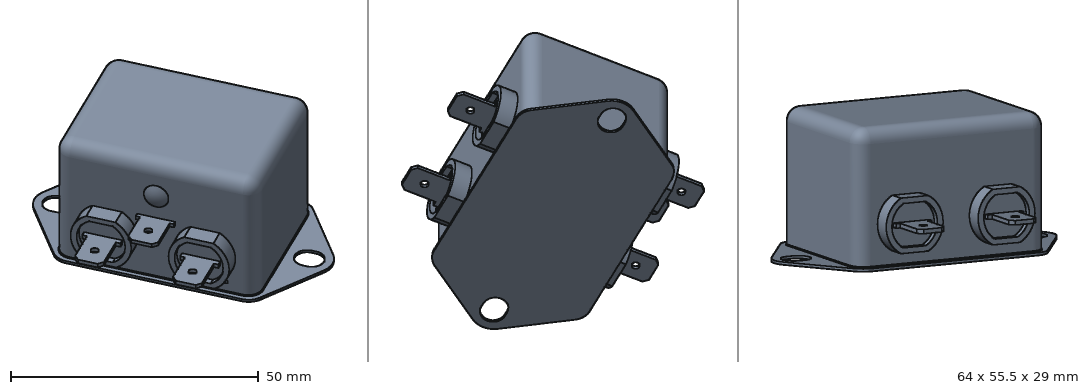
import cadquery as cq
import math

plate_thickness = 0.6
plate_width = 35.0
overall_length = 63.96
ear_spacing = 54.0
ear_radius = (overall_length - ear_spacing) / 2
shoulder_spacing = 37.7
shoulder_radius = 4.0
slot_length = 6.3
slot_width = 5.3

overall_height = 29.0
housing_length = 43.4
housing_width = 32.5
housing_radius = 3.1
foot_size = 0.2
foot_slope = 45.0

bushing_spacing = 21.0
bushing_height = 9.3
bushing_face_y = 20.0
bushing_diameter = 13.0
bushing_flats = 11.4
cup_diameter = 10.4
cup_flats = 9.1
cup_depth = 1.4

dome_height = 20.8
dome_diameter = 5.3
dome_rise = 0.7
pip_spacing = 30.0
pip_height = 3.1
pip_diameter = 0.8
pip_rise = 0.15

tip_chamfer = 1.0
hole_inset = 4.05
terminal_hole = 1.65

blade_base_overhang = 1.0
blade_base_length = 1.1
blade_width = 6.2
blade_thickness = 0.9
blade_tip_y = 27.75

ground_width = 6.4
ground_thickness = 0.8
ground_tip_y = 24.9
ground_height = 15.0
ground_base_overhang = 0.9
ground_base_length = 0.85


def make_plate():
    """Plate whose ear and shoulder arcs are joined by common tangent lines."""
    ear_x = ear_spacing / 2
    shoulder_x = shoulder_spacing / 2
    side_y = plate_width / 2
    shoulder_y = side_y - shoulder_radius
    run = ear_x - shoulder_x
    distance = math.hypot(run, shoulder_y)
    tangent = math.acos((shoulder_radius - ear_radius) / distance) - math.atan2(shoulder_y, run)

    def ear(angle):
        return (ear_x + ear_radius * math.cos(angle), ear_radius * math.sin(angle))

    def shoulder(angle):
        return (
            shoulder_x + shoulder_radius * math.cos(angle),
            shoulder_y + shoulder_radius * math.sin(angle),
        )

    top = math.pi / 2
    quarter = (
        cq.Workplane("XY")
        .lineTo(*ear(0))
        .threePointArc(ear(tangent / 2), ear(tangent))
        .lineTo(*shoulder(tangent))
        .threePointArc(shoulder((tangent + top) / 2), shoulder(top))
        .lineTo(0, side_y)
        .close()
        .extrude(plate_thickness)
    )
    half = quarter.union(quarter.mirror("YZ"))
    outline = half.union(half.mirror("XZ"))
    slots = (
        cq.Workplane("XY")
        .pushPoints([(-ear_x, 0), (ear_x, 0)])
        .slot2D(slot_length, slot_width)
        .extrude(plate_thickness)
    )
    return outline.cut(slots)


def flatted_disc(diameter, flats, start_y, end_y, x):
    """Disc along Y with a flat above and below, between two Y positions."""
    length = end_y - start_y
    center = (x, (start_y + end_y) / 2, bushing_height)
    slab = cq.Workplane("XY").box(diameter, length, flats).translate(center)
    disc = (
        cq.Workplane("XZ", origin=(x, end_y, bushing_height))
        .circle(diameter / 2)
        .extrude(length)
    )
    return disc.intersect(slab)


def make_cap(diameter, rise, x, z):
    """Shallow spherical cap standing on the -Y face."""
    sphere_radius = ((diameter / 2) ** 2 + rise**2) / (2 * rise)
    cap = (
        cq.Workplane("XY")
        .lineTo(diameter / 2, 0)
        .radiusArc((0, rise), -sphere_radius)
        .close()
        .revolve(360, (0, 0), (0, 1))
    )
    return cap.rotate((0, 0, 0), (0, 0, 1), 180).translate((x, -housing_width / 2, z))


def make_foot():
    """Narrow sloping rim around the bottom of the housing."""
    rim = cq.Sketch().rect(housing_length + 2 * foot_size, housing_width + 2 * foot_size)
    rim = rim.vertices().fillet(housing_radius + foot_size)
    return (
        cq.Workplane("XY", origin=(0, 0, plate_thickness))
        .placeSketch(rim)
        .extrude(foot_size, taper=foot_slope)
    )


def make_housing():
    housing = (
        cq.Workplane("XY", origin=(0, 0, plate_thickness))
        .rect(housing_length, housing_width)
        .extrude(overall_height - plate_thickness)
        .edges("|Z or >Z")
        .fillet(housing_radius)
    )
    dome = make_cap(dome_diameter, dome_rise, 0, dome_height)
    housing = housing.union(make_foot()).union(dome)
    for x in (-bushing_spacing / 2, bushing_spacing / 2):
        bushing = flatted_disc(bushing_diameter, bushing_flats, -bushing_face_y, bushing_face_y, x)
        housing = housing.union(bushing)
        floor_y = bushing_face_y - cup_depth
        for start_y, end_y in ((-bushing_face_y, -floor_y), (floor_y, bushing_face_y)):
            housing = housing.cut(flatted_disc(cup_diameter, cup_flats, start_y, end_y, x))
    for x in (-pip_spacing / 2, pip_spacing / 2):
        housing = housing.union(make_cap(pip_diameter, pip_rise, x, pip_height))
    return housing


def make_blade(width, thickness, overhang, base_length, root_y, tip_y):
    """Flat terminal pointing to +Y, with a wider base at its root."""
    tip = (
        cq.Workplane("XY")
        .rect(width, tip_y - root_y)
        .extrude(thickness / 2, both=True)
        .translate((0, (root_y + tip_y) / 2, 0))
        .edges("|Z and >Y")
        .chamfer(tip_chamfer)
    )
    base = (
        cq.Workplane("XY")
        .box(width + 2 * overhang, base_length, thickness)
        .translate((0, root_y + base_length / 2, 0))
    )
    drill = (
        cq.Workplane("XY")
        .center(0, tip_y - hole_inset)
        .circle(terminal_hole / 2)
        .extrude(thickness, both=True)
    )
    return tip.union(base).cut(drill)


def make_terminals():
    blade = make_blade(
        blade_width, blade_thickness, blade_base_overhang, blade_base_length,
        bushing_face_y - cup_depth, blade_tip_y,
    )
    terminals = []
    for turn in (0, 180):
        for x in (-bushing_spacing / 2, bushing_spacing / 2):
            turned = blade.rotate((0, 0, 0), (0, 0, 1), turn)
            terminals.append(turned.translate((x, 0, bushing_height)).val())
    return terminals


def make_ground_terminal():
    blade = make_blade(
        ground_width, ground_thickness, ground_base_overhang, ground_base_length,
        housing_width / 2, ground_tip_y,
    )
    return blade.rotate((0, 0, 0), (0, 0, 1), 180).translate((0, 0, ground_height))


plate = make_plate()
housing = make_housing()
terminals = make_terminals()
ground_terminal = make_ground_terminal()

result = cq.Compound.makeCompound(
    [plate.val(), housing.val(), *terminals, ground_terminal.val()]
)